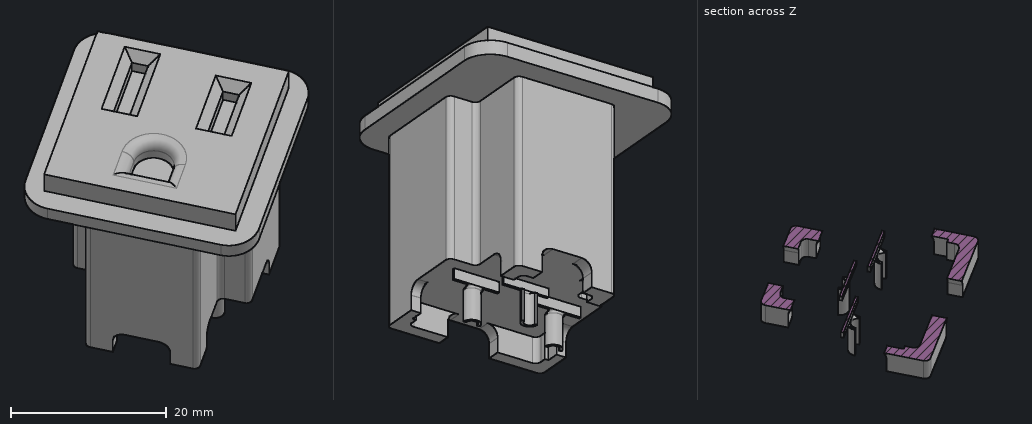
import cadquery as cq


flange_size = 31.11
flange_corner_radius = 4.0
flange_thickness = 2.03
riser_size = 25.5
riser_height = 3.2
overall_height = 35.31
face_z = flange_thickness + riser_height

housing_size = 23.86
housing_depth = 27.34
front_half_width = 7.63
step_y = -2.54
corner_radius = 0.78
housing_half = housing_size / 2

notch_depth = 23.55
notch_radius = 1.6
front_notch_half_width = 3.82
side_notch_front_y = -8.1
side_notch_rear_y = 6.22
leg_height = housing_depth - notch_depth

wall = 2.03
side_relief_wall = 1.48
side_relief_rear_y = 8.1

contact_x = 6.29
socket_depth = 3.0
slot_width = 4.75
slot_inner_width = 2.15
slot_bevel_y = 1.21
slot_bevel_depth = 1.4
slot_front_y = 0.05
left_slot_length = 11.07
right_slot_length = 9.45
ground_radius = 4.22
ground_center_y = -6.25
ground_front_y = -10.45
ground_rim_radius = 1.57

blade_width = 6.9
metal_thickness = 0.4
shoulder_height = 0.4
cup_length = 4.6
line_cup_radius = 1.26
line_cup_y = 0.76
line_tip_z = face_z - overall_height
ground_cup_radius = 1.2
ground_cup_y = -3.28
ground_tip_setback = 0.27
ground_tip_z = line_tip_z + ground_tip_setback


def block(x_min, x_max, y_min, y_max, z_min, z_max):
    """Axis-aligned box given by its limits."""
    size = (x_max - x_min, y_max - y_min, z_max - z_min)
    return cq.Workplane("XY").box(*size, centered=False).translate((x_min, y_min, z_min))


def stepped_prism(rear_half, front_half, y_step, y_front, y_rear, z_bottom, height):
    """Prism with a wide rear part and a narrow front part, all upright edges rounded."""
    outline = [
        (-front_half, y_front),
        (front_half, y_front),
        (front_half, y_step),
        (rear_half, y_step),
        (rear_half, y_rear),
        (-rear_half, y_rear),
        (-rear_half, y_step),
        (-front_half, y_step),
    ]
    prism = cq.Workplane("XY").workplane(offset=z_bottom).polyline(outline).close().extrude(height)
    return prism.edges("|Z").fillet(corner_radius)


def make_face_plate():
    """Rounded flange with the square riser standing through it."""
    flange = block(
        -flange_size / 2, flange_size / 2, -flange_size / 2, flange_size / 2, 0, flange_thickness
    )
    flange = flange.edges("|Z").fillet(flange_corner_radius)
    riser = cq.Workplane("XY").rect(riser_size, riser_size).extrude(face_z)
    return flange.union(riser)


def make_housing():
    """Stepped housing, hollowed and notched at the bottom so that four legs remain."""
    body = stepped_prism(
        housing_half, front_half_width, step_y, -housing_half, housing_half, -housing_depth, housing_depth
    )
    hollow = stepped_prism(
        housing_half - wall,
        front_half_width - wall,
        step_y + wall,
        -housing_half + wall,
        housing_half - wall,
        -housing_depth,
        leg_height,
    )
    relief_half = housing_half - side_relief_wall
    side_relief = block(
        -relief_half, relief_half, step_y + wall, side_relief_rear_y, -housing_depth, -notch_depth
    )
    front_notch = block(
        -front_notch_half_width,
        front_notch_half_width,
        -housing_half,
        housing_half,
        -housing_depth,
        -notch_depth,
    )
    front_notch = front_notch.edges("|Y and >Z").fillet(notch_radius)
    side_notch = block(
        -housing_half,
        housing_half,
        side_notch_front_y,
        side_notch_rear_y,
        -housing_depth,
        -notch_depth,
    )
    side_notch = side_notch.edges("|X and >Z").fillet(notch_radius)
    return body.cut(hollow).cut(side_relief).cut(front_notch).cut(side_notch)


def slot_cutter(center_x, length):
    """Straight blade slot with a bevelled mouth."""
    center_y = slot_front_y + length / 2
    inner_length = length - 2 * slot_bevel_y
    mouth = (
        cq.Workplane("XY", origin=(center_x, center_y, face_z))
        .rect(slot_width, length)
        .workplane(offset=-slot_bevel_depth)
        .rect(slot_inner_width, inner_length)
        .loft(ruled=True)
    )
    straight = (
        cq.Workplane("XY", origin=(center_x, center_y, face_z - socket_depth))
        .rect(slot_inner_width, inner_length)
        .extrude(socket_depth - slot_bevel_depth)
    )
    return mouth.union(straight)


def cut_ground_socket(part):
    """D-shaped hole whose rim is rounded outward all the way round."""
    half_width = ground_radius - ground_rim_radius
    front_y = ground_front_y + ground_rim_radius
    hole = (
        cq.Workplane("XY", origin=(0, 0, face_z - socket_depth))
        .moveTo(-half_width, front_y)
        .lineTo(half_width, front_y)
        .lineTo(half_width, ground_center_y)
        .threePointArc((0, ground_center_y + half_width), (-half_width, ground_center_y))
        .close()
        .extrude(socket_depth)
    )
    part = part.cut(hole)
    rim_area = cq.selectors.BoxSelector(
        (-ground_radius, ground_front_y, face_z - ground_rim_radius / 2),
        (ground_radius, ground_center_y + ground_radius, face_z + ground_rim_radius / 2),
    )
    return part.edges(rim_area).fillet(ground_rim_radius)


def cup_section(radius, z):
    """Half ring, open towards +Y, at height z."""
    inner_radius = radius - metal_thickness
    return (
        cq.Workplane("XY", origin=(0, 0, z))
        .moveTo(-radius, 0)
        .threePointArc((0, -radius), (radius, 0))
        .lineTo(inner_radius, 0)
        .threePointArc((0, -inner_radius), (-inner_radius, 0))
        .close()
    )


def blade_section(radius, z):
    """Flat strip as wide as the cup, lying against its back, at height z."""
    inner_radius = radius - metal_thickness
    return (
        cq.Workplane("XY", origin=(0, 0, z))
        .moveTo(-radius, -radius)
        .lineTo(radius, -radius)
        .lineTo(radius, -inner_radius)
        .lineTo(-radius, -inner_radius)
        .close()
    )


def make_shoulder(cup_end, blade_end):
    """Solid between the cup and the blade, with each pair of facing edges joined by straight lines."""
    edge_pairs = zip(cup_end.Edges(), blade_end.Edges())
    faces = [cq.Face.makeRuledSurface(lower, upper) for lower, upper in edge_pairs]
    faces.append(cq.Face.makeFromWires(cup_end))
    faces.append(cq.Face.makeFromWires(blade_end))
    solid = cq.Solid.makeSolid(cq.Shell.makeShell(faces))
    return cq.Workplane(solid.fix())


def make_contact(center_x, cup_y, cup_radius, tip_z, opening):
    """Blade and half-round solder cup; opening is the Y direction (+1 or -1) of the open side."""
    cup_z = tip_z + cup_length
    blade_z = cup_z + shoulder_height
    back_y = -cup_radius
    half_width = blade_width / 2
    blade = block(-half_width, half_width, back_y, back_y + metal_thickness, blade_z, -notch_depth)
    cup = cup_section(cup_radius, tip_z).extrude(cup_length)
    shoulder = make_shoulder(cup_section(cup_radius, cup_z).val(), blade_section(cup_radius, blade_z).val())
    contact = blade.union(shoulder).union(cup)
    if opening < 0:
        contact = contact.rotate((0, 0, 0), (0, 0, 1), 180)
    return contact.translate((center_x, cup_y, 0))


result = make_face_plate().union(make_housing())
result = cut_ground_socket(result)
for slot_x, slot_length in ((-contact_x, left_slot_length), (contact_x, right_slot_length)):
    result = result.cut(slot_cutter(slot_x, slot_length))
for line_x in (-contact_x, contact_x):
    result = result.union(make_contact(line_x, line_cup_y, line_cup_radius, line_tip_z, 1))
result = result.union(make_contact(0, ground_cup_y, ground_cup_radius, ground_tip_z, -1))